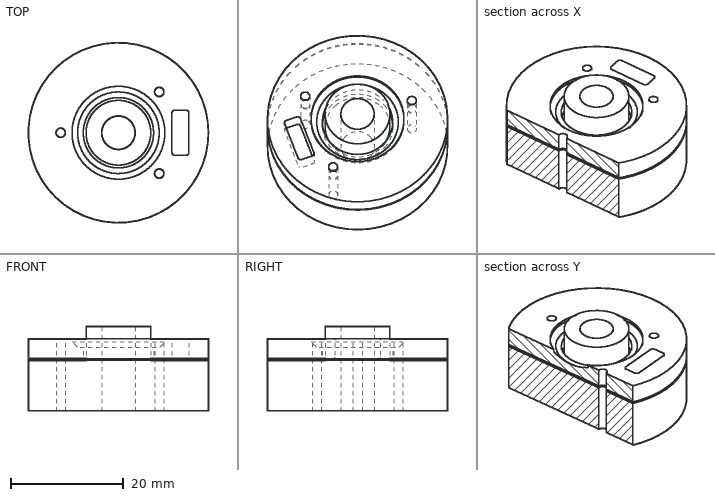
import cadquery as cq
import math

outer_diameter = 32.0
overall_height = 15.0

base_height = 9.0
hub_diameter = 11.5
bore_diameter = 5.9

plate_gap = 0.3
plate_thickness = 3.5
plate_bottom = base_height + plate_gap
plate_top = plate_bottom + plate_thickness
plate_hole_diameter = 12.5

recess_diameter = 16.5
recess_floor_diameter = 14.5
recess_depth = 1.5

screw_hole_diameter = 1.6
screw_circle_radius = 10.25
screw_angles = (-45.0, 45.0, 180.0)

window_width = 3.0
window_length = 8.0
window_corner_radius = 0.5
window_center_x = 11.0


def cylinder(diameter, bottom, top):
    """Upright cylinder on the Z axis between two heights."""
    return cq.Workplane("XY").workplane(offset=bottom).circle(diameter / 2).extrude(top - bottom)


def screw_holes():
    """Cutters for the screw holes, tall enough for both bodies."""
    centers = [
        (
            screw_circle_radius * math.cos(math.radians(angle)),
            screw_circle_radius * math.sin(math.radians(angle)),
        )
        for angle in screw_angles
    ]
    return cq.Workplane("XY").pushPoints(centers).circle(screw_hole_diameter / 2).extrude(overall_height)


def recess():
    """Cutter for the recess: straight at the plate's top, then tapering in to its floor."""
    floor_chamfer = (recess_diameter - recess_floor_diameter) / 2
    return (
        cylinder(recess_diameter, plate_top - recess_depth, plate_top)
        .faces("<Z")
        .edges()
        .chamfer(floor_chamfer)
    )


def window():
    """Cutter for the rounded rectangular window."""
    return (
        cq.Workplane("XY")
        .workplane(offset=plate_bottom)
        .center(window_center_x, 0)
        .rect(window_width, window_length)
        .extrude(plate_thickness)
        .edges("|Z")
        .fillet(window_corner_radius)
    )


def make_base():
    disc = cylinder(outer_diameter, 0, base_height)
    hub = cylinder(hub_diameter, base_height, overall_height)
    bore = cylinder(bore_diameter, 0, overall_height)
    return disc.union(hub).cut(bore).cut(screw_holes())


def make_plate():
    disc = cylinder(outer_diameter, plate_bottom, plate_top)
    center_hole = cylinder(plate_hole_diameter, plate_bottom, plate_top)
    return disc.cut(center_hole).cut(recess()).cut(window()).cut(screw_holes())


base = make_base()
plate = make_plate()

result = cq.Compound.makeCompound([base.val(), plate.val()])